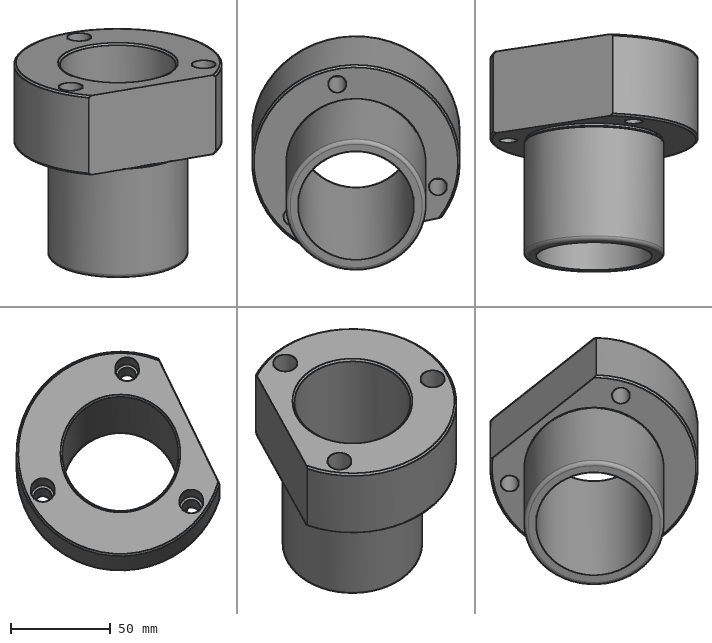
import cadquery as cq

flange_diameter = 104.0
flange_height = 42.0
flange_chamfer = 1.0
flat_distance = 38.0

total_height = 102.0
sleeve_diameter = 70.0
sleeve_edge_radius = 2.0
sleeve_height = total_height - flange_height

groove_depth = 0.8
groove_width = 2.0

bore_diameter = 58.0
bore_chamfer = 1.0

hole_diameter = 9.0
counterbore_diameter = 12.0
counterbore_depth = 20.0
hole_circle_radius = 43.0
hole_angles = (60.0, 180.0, 300.0)


def make_flange():
    """Chamfered disc, with the flat cut through its chamfers on the +X side."""
    radius = flange_diameter / 2
    disc = (
        cq.Workplane("XY")
        .workplane(offset=sleeve_height)
        .circle(radius)
        .extrude(flange_height)
        .edges()
        .chamfer(flange_chamfer)
    )
    beyond_flat = (
        cq.Workplane("XY")
        .box(flange_diameter, flange_diameter, total_height, centered=(False, True, False))
        .translate((flat_distance, 0, 0))
    )
    return disc.cut(beyond_flat)


def make_sleeve():
    """Revolved cylinder: rounded lower edge, and a neck that slopes out to full diameter."""
    radius = sleeve_diameter / 2
    neck_radius = radius - groove_depth
    shoulder_z = sleeve_height - groove_width
    profile = (
        cq.Workplane("XZ")
        .lineTo(radius - sleeve_edge_radius, 0)
        .radiusArc((radius, sleeve_edge_radius), -sleeve_edge_radius)
        .lineTo(radius, shoulder_z)
        .lineTo(neck_radius, shoulder_z + groove_depth)
        .lineTo(neck_radius, sleeve_height)
        .lineTo(0, sleeve_height)
        .close()
    )
    return profile.revolve(axisStart=(0, 0, 0), axisEnd=(0, 1, 0))


def cut_bore(part):
    """Through bore along Z, chamfered at the flange face."""
    bore_radius = bore_diameter / 2
    bore = cq.Workplane("XY").circle(bore_radius).extrude(total_height)
    mouth_chamfer = cq.Workplane(
        cq.Solid.makeCone(
            bore_radius,
            bore_radius + bore_chamfer,
            bore_chamfer,
            pnt=cq.Vector(0, 0, total_height - bore_chamfer),
        )
    )
    return part.cut(bore).cut(mouth_chamfer)


def cut_mounting_holes(part):
    """Holes through the flange, counterbored from its top face."""
    for angle in hole_angles:
        place = cq.Location(cq.Vector(0, 0, total_height), cq.Vector(0, 0, 1), angle)
        hole = (
            cq.Workplane("XY")
            .center(hole_circle_radius, 0)
            .circle(hole_diameter / 2)
            .extrude(-flange_height)
        )
        counterbore = (
            cq.Workplane("XY")
            .center(hole_circle_radius, 0)
            .circle(counterbore_diameter / 2)
            .extrude(-counterbore_depth)
        )
        part = part.cut(hole.union(counterbore).val().moved(place))
    return part


body = make_flange().union(make_sleeve())
result = cut_mounting_holes(cut_bore(body))